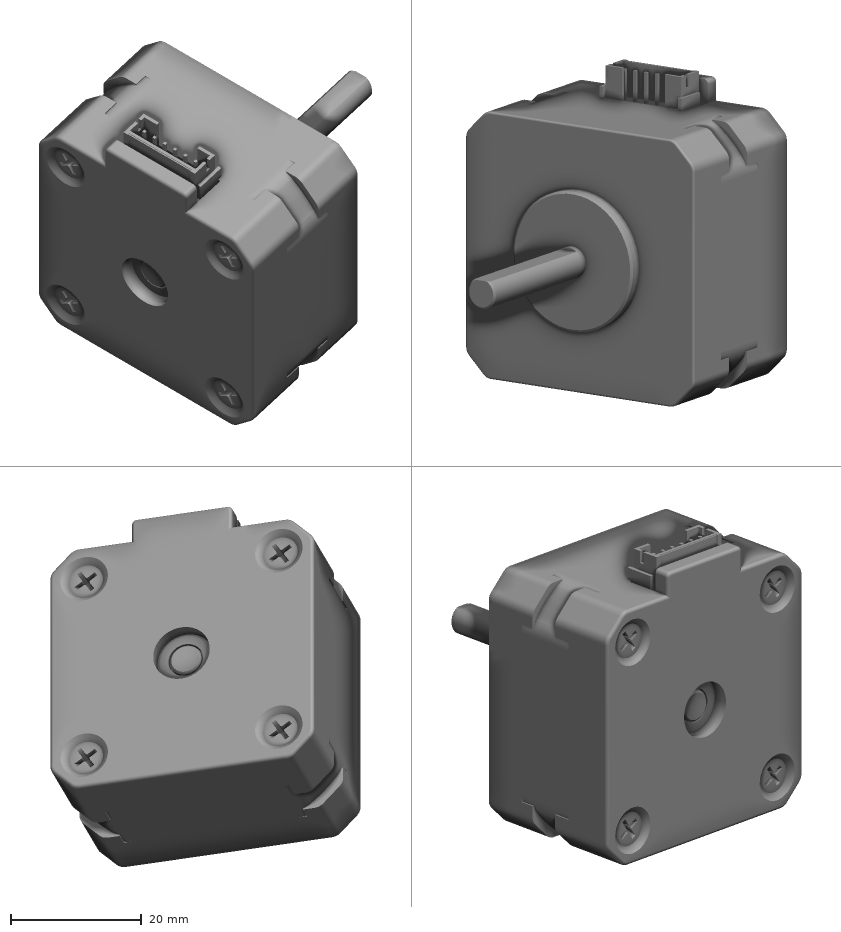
import cadquery as cq


BODY_SIZE = 42.0
BODY_LENGTH = 26.0
HALF_SIZE = BODY_SIZE / 2
CORNER_CHAMFER = 3.75
CORNER_RADIUS = 2.0
FRONT_EDGE_RADIUS = 0.35
REAR_EDGE_RADIUS = 0.55

PILOT_DIAMETER = 22.0
PILOT_HEIGHT = 2.0
PILOT_CHAMFER = 0.35
SHAFT_DIAMETER = 5.0
SHAFT_PROJECTION = 27.0
SHAFT_CHAMFER = 0.3
FLAT_LENGTH = 24.0
FLAT_HEIGHT = 2.0
SHAFT_TIP = BODY_LENGTH + SHAFT_PROJECTION

RECESS_DIAMETER = 9.0
DISC_DIAMETER = 8.3
RECESS_DEPTH = 2.4
DISC_HEIGHT = 0.15
CLEARANCE_DIAMETER = 5.5
CLEARANCE_DEPTH = 3.2
SHAFT_REAR_END = 2.0

SCREW_PITCH = 31.0
SINK_DIAMETER = 7.55
HEAD_DIAMETER = 5.5
SINK_DEPTH = 0.85
CROSS_ANGLE = 33.0
CROSS_REACH = 1.95
CROSS_WIDTH = 0.7
CROSS_CENTRE_RADIUS = 0.62
CROSS_DEPTH = 1.8
CROSS_TIP_DEPTH = 0.3

RELIEF_REACH = 7.65
SHOULDER_INSET = 5.23
SHOULDER_DROP = 0.81
STEM_START = 11.35
STEM_WIDTH = 4.9
BAR_START = 8.45
BAR_WIDTH = 10.0
BAR_INSET = 6.4

TAB_WIDTH = 16.0
TAB_THICKNESS = 2.65
TAB_HEIGHT = 3.72
TAB_CORNER_RADIUS = 0.75
CONNECTOR_HEIGHT = 5.1
CONNECTOR_WIDTH = 13.9
CONNECTOR_REAR = 3.5
CONNECTOR_FRONT = 8.45
WELL_DEPTH = 1.0
FLOOR_DEPTH = 0.5
SIDE_WALL = 0.55
REAR_WALL = 0.86
FRONT_WALL = 0.55
FRONT_OPENING = 7.9
REAR_PANEL_WIDTH = 12.2
REAR_PANEL_RECESS = 0.15
PANEL_LEDGE_WIDTH = 0.2
PANEL_LEDGE_DEPTH = 0.1
SLOT_START = 6.37
SLOT_WIDTH = 0.75
SLOT_DEPTH = 1.95
EAR_THICKNESS = 0.6
EAR_REAR = 4.2
EAR_FRONT = 9.25
EAR_HEIGHT = 1.95
PIN_COUNT = 6
PIN_PITCH = 2.0
PIN_SIZE = 0.5
PIN_Y = 6.15
PIN_HEIGHT = 4.4


def block(width, y_start, y_end, z_start, z_end, x_centre=0.0):
    """Box centred on x_centre in X, between the given Y and Z limits."""
    corner = (x_centre - width / 2, y_start, z_start)
    return cq.Workplane("XY").box(width, y_end - y_start, z_end - z_start, centered=False).translate(corner)


def rod(diameter, y_start, y_end):
    """Round bar along the shaft axis."""
    plane = cq.Workplane("XZ", origin=(0, y_start, 0))
    return plane.circle(diameter / 2).extrude(y_start - y_end)


def cone(diameter_start, diameter_end, y_start, y_end):
    """Pointed or truncated cone along the shaft axis."""
    base = cq.Vector(0, y_start, 0)
    axis = cq.Vector(0, 1, 0)
    solid = cq.Solid.makeCone(diameter_start / 2, diameter_end / 2, y_end - y_start, base, axis)
    return cq.Workplane(obj=solid)


def make_body():
    """Chamfered body with the connector tab rising from its rear edge."""
    body = block(BODY_SIZE, 0, BODY_LENGTH, -HALF_SIZE, HALF_SIZE)
    body = body.edges("|Y").chamfer(CORNER_CHAMFER).edges("|Y").fillet(CORNER_RADIUS)
    body = body.faces(">Y").edges().fillet(FRONT_EDGE_RADIUS)
    tab = block(TAB_WIDTH, 0, TAB_THICKNESS, 0, HALF_SIZE + TAB_HEIGHT)
    tab = tab.edges("|Y and >Z").fillet(TAB_CORNER_RADIUS)
    return body.union(tab).faces("<Y").edges().fillet(REAR_EDGE_RADIUS)


def corner_relief(y_start, width):
    """Material outside the three tangent arcs that round off each long edge."""
    y_end = y_start + width
    relief = block(BODY_SIZE, y_start, y_end, -HALF_SIZE, HALF_SIZE)
    arc_start = HALF_SIZE - RELIEF_REACH
    shoulder_near = HALF_SIZE - SHOULDER_INSET
    shoulder_far = HALF_SIZE - SHOULDER_DROP
    quarter = (
        cq.Workplane("XZ", origin=(0, y_start, 0))
        .moveTo(0, HALF_SIZE)
        .lineTo(arc_start, HALF_SIZE)
        .tangentArcPoint((shoulder_near, shoulder_far), relative=False)
        .tangentArcPoint((shoulder_far, shoulder_near), relative=False)
        .tangentArcPoint((HALF_SIZE, arc_start), relative=False)
        .lineTo(HALF_SIZE, 0)
        .lineTo(0, 0)
        .close()
        .extrude(-width)
    )
    for turn in range(4):
        relief = relief.cut(quarter.rotate((0, 0, 0), (0, 1, 0), 90 * turn))
    return relief


def make_reliefs():
    """T-shaped reliefs that wrap around the four long edges of the body."""
    stems = corner_relief(STEM_START, STEM_WIDTH)
    bar_end = BAR_START + BAR_WIDTH
    bar_reach = HALF_SIZE - BAR_INSET
    upright = block(2 * bar_reach, BAR_START, bar_end, -HALF_SIZE, HALF_SIZE)
    level = block(BODY_SIZE, BAR_START, bar_end, -bar_reach, bar_reach)
    bars = corner_relief(BAR_START, BAR_WIDTH).intersect(upright.union(level))
    return stems.union(bars)


def make_pilot():
    """Centring boss on the front face."""
    pilot = rod(PILOT_DIAMETER, BODY_LENGTH - PILOT_HEIGHT, BODY_LENGTH + PILOT_HEIGHT)
    return pilot.faces(">Y").edges().chamfer(PILOT_CHAMFER)


def make_shaft():
    """Shaft with chamfered ends and a flat on its upper side."""
    shaft = rod(SHAFT_DIAMETER, SHAFT_REAR_END, SHAFT_TIP)
    shaft = shaft.faces("<Y or >Y").edges().chamfer(SHAFT_CHAMFER)
    flat = block(SHAFT_DIAMETER, SHAFT_TIP - FLAT_LENGTH, SHAFT_TIP, FLAT_HEIGHT, SHAFT_DIAMETER)
    return shaft.cut(flat)


def make_recess():
    """Bearing recess with a raised floor disc and a clearance bore around the shaft."""
    disc = rod(DISC_DIAMETER, RECESS_DEPTH - DISC_HEIGHT, RECESS_DEPTH)
    recess = rod(RECESS_DIAMETER, 0, RECESS_DEPTH).cut(disc)
    return recess.union(rod(CLEARANCE_DIAMETER, 0, CLEARANCE_DEPTH))


def make_screw_recess():
    """Countersink with a tapered cross slot in the screw head, centred on the Y axis."""
    bottom = SINK_DEPTH + CROSS_DEPTH
    recess = cone(SINK_DIAMETER, HEAD_DIAMETER, 0, SINK_DEPTH)
    arm = cq.Workplane("XY", origin=(0, 0, -CROSS_WIDTH / 2)).polyline([
        (-CROSS_REACH, SINK_DEPTH),
        (CROSS_REACH, SINK_DEPTH),
        (CROSS_CENTRE_RADIUS, bottom),
        (-CROSS_CENTRE_RADIUS, bottom),
    ]).close().extrude(CROSS_WIDTH)
    for angle in (CROSS_ANGLE, CROSS_ANGLE + 90):
        recess = recess.union(arm.rotate((0, 0, 0), (0, 1, 0), -angle))
    centre_diameter = 2 * CROSS_CENTRE_RADIUS
    recess = recess.union(rod(centre_diameter, 0, bottom))
    return recess.union(cone(centre_diameter, 0, bottom, bottom + CROSS_TIP_DEPTH))


def make_connector():
    """Open connector housing with side ears and a row of square pins."""
    base = HALF_SIZE - WELL_DEPTH
    floor = HALF_SIZE - FLOOR_DEPTH
    top = HALF_SIZE + CONNECTOR_HEIGHT
    cavity_width = CONNECTOR_WIDTH - 2 * SIDE_WALL
    cavity_rear = CONNECTOR_REAR + REAR_WALL
    housing = block(CONNECTOR_WIDTH, CONNECTOR_REAR, CONNECTOR_FRONT, base, top)
    housing = housing.cut(block(cavity_width, cavity_rear, CONNECTOR_FRONT - FRONT_WALL, floor, top))
    housing = housing.cut(block(FRONT_OPENING, cavity_rear, CONNECTOR_FRONT, floor, top))
    panel_face = CONNECTOR_REAR + REAR_PANEL_RECESS
    housing = housing.cut(block(REAR_PANEL_WIDTH, CONNECTOR_REAR, panel_face, base, top))
    ledge_end = panel_face + PANEL_LEDGE_WIDTH
    housing = housing.cut(block(REAR_PANEL_WIDTH, panel_face, ledge_end, top - PANEL_LEDGE_DEPTH, top))
    slot_end = SLOT_START + SLOT_WIDTH
    housing = housing.cut(block(CONNECTOR_WIDTH, SLOT_START, slot_end, top - SLOT_DEPTH, top))
    ear_x = (CONNECTOR_WIDTH + EAR_THICKNESS) / 2
    for side in (-1, 1):
        ear = block(EAR_THICKNESS, EAR_REAR, EAR_FRONT, base, HALF_SIZE + EAR_HEIGHT, side * ear_x)
        housing = housing.union(ear)
    for index in range(PIN_COUNT):
        pin_x = (index - (PIN_COUNT - 1) / 2) * PIN_PITCH
        pin_start = PIN_Y - PIN_SIZE / 2
        pin = block(PIN_SIZE, pin_start, pin_start + PIN_SIZE, base, HALF_SIZE + PIN_HEIGHT, pin_x)
        housing = housing.union(pin)
    return housing


motor = make_body().cut(make_reliefs()).cut(make_recess())

screw_recess = make_screw_recess()
for x_side in (-1, 1):
    for z_side in (-1, 1):
        screw_place = (x_side * SCREW_PITCH / 2, 0, z_side * SCREW_PITCH / 2)
        motor = motor.cut(screw_recess.translate(screw_place))

connector_well = block(TAB_WIDTH, TAB_THICKNESS, CONNECTOR_FRONT, HALF_SIZE - WELL_DEPTH, HALF_SIZE)
motor = motor.cut(connector_well).union(make_connector())

result = motor.union(make_pilot()).union(make_shaft())